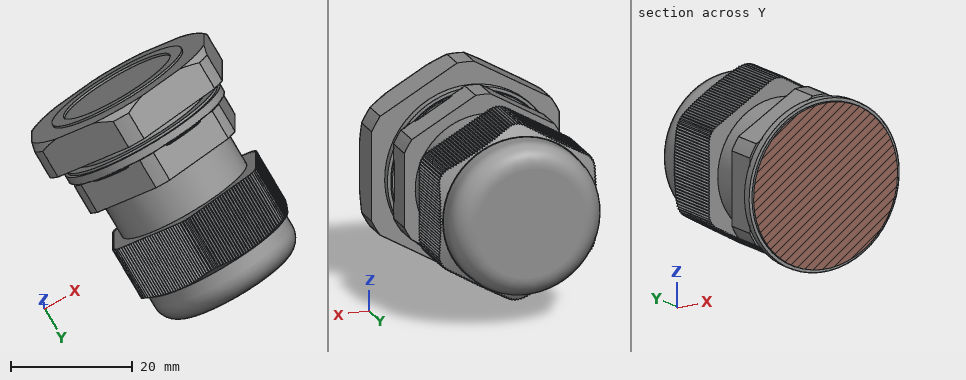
import cadquery as cq
import math

total_length = 38.7

collar_diameter = 24.7
collar_height = 0.35
recess_diameter = 20.3
recess_depth = 0.4
nut_flats = 32.7
nut_corner_diameter = 36.2
nut_face_diameter = 33.75
nut_chamfer_end = 1.4
nut_end = 6.43

neck_diameter = 24.7
seal_start = 7.97
seal_end = 10.22
seal_diameter = 28.5
seal_rim_diameter = 29.6
seal_rim_start = 8.4
seal_rim_end = 9.8
seal_edge_chamfer = 0.15

body_hex_flats = 27.5
body_hex_corner_diameter = 30.35
body_hex_end = 15.15
barrel_diameter = 23.7

cap_start = 22.22
cap_end = 32.67
cap_flats = 27.4
cap_corner_radius = 3.05
cap_bevel_start = 31.63
cap_bevel_diameter = 26.5
teeth_per_flat = 24
teeth_per_corner = 6

dome_diameter = 26.3
dome_radius = 3.65

HEX_SIDES = 6
HEX_STEP = 2 * math.pi / HEX_SIDES
HALF_STEP = HEX_STEP / 2

cap_arc_distance = (cap_flats / 2 - cap_corner_radius) / math.cos(HALF_STEP)


def disc(diameter, start, end):
    """Round disc about Y between two stations."""
    plane = cq.Workplane("ZX", origin=(0, start, 0))
    return plane.circle(diameter / 2).extrude(end - start)


def hexagon(flats, corner_diameter, start, end):
    """Hexagonal prism with corners toward +Z and -Z, turned down to a corner diameter."""
    plane = cq.Workplane("ZX", origin=(0, start, 0))
    prism = plane.polygon(HEX_SIDES, flats / math.cos(HALF_STEP)).extrude(end - start)
    return prism.intersect(disc(corner_diameter, start, end))


def turned(outline):
    """Solid of revolution about Y from (radius, station) points."""
    return cq.Workplane("XY").polyline(outline).close().revolve(360, (0, 0), (0, 1))


def lock_nut():
    nut = hexagon(nut_flats, nut_corner_diameter, collar_height, nut_end)
    corner_radius = nut_corner_diameter / 2
    envelope = turned([
        (0, collar_height),
        (nut_face_diameter / 2, collar_height),
        (corner_radius, nut_chamfer_end),
        (corner_radius, nut_end),
        (0, nut_end),
    ])
    return nut.intersect(envelope).union(disc(collar_diameter, 0, collar_height))


def sealing_ring():
    ring = disc(seal_diameter, seal_start, seal_end).edges(">Y").chamfer(seal_edge_chamfer)
    return ring.union(disc(seal_rim_diameter, seal_rim_start, seal_rim_end))


def knurl_outline():
    """Points of a round-cornered hexagon whose edge is cut into V teeth, 90 degrees on the flats."""
    flat_length = 2 * cap_arc_distance * math.sin(HALF_STEP)
    half_pitch = flat_length / teeth_per_flat / 2
    root_radius = cap_corner_radius - half_pitch
    points = []
    for side in range(HEX_SIDES):
        corner = side * HEX_STEP
        center_z = cap_arc_distance * math.cos(corner)
        center_x = cap_arc_distance * math.sin(corner)
        for i in range(2 * teeth_per_corner):
            angle = corner - HALF_STEP + HEX_STEP * i / (2 * teeth_per_corner)
            radius = cap_corner_radius if i % 2 else root_radius
            points.append((center_z + radius * math.cos(angle), center_x + radius * math.sin(angle)))
        normal = corner + HALF_STEP
        for i in range(2 * teeth_per_flat):
            along = i * half_pitch - flat_length / 2
            out = cap_flats / 2 if i % 2 else cap_flats / 2 - half_pitch
            z = out * math.cos(normal) - along * math.sin(normal)
            x = out * math.sin(normal) + along * math.cos(normal)
            points.append((z, x))
    return points


def clamping_cap():
    plane = cq.Workplane("ZX", origin=(0, cap_start, 0))
    knurled = plane.polyline(knurl_outline()).close().extrude(cap_end - cap_start)
    corner_reach = cap_arc_distance + cap_corner_radius
    envelope = turned([
        (0, cap_start),
        (corner_reach, cap_start),
        (corner_reach, cap_bevel_start),
        (cap_bevel_diameter / 2, cap_end),
        (0, cap_end),
    ])
    dome = disc(dome_diameter, cap_start, total_length).edges(">Y").fillet(dome_radius)
    return knurled.intersect(envelope).union(dome)


neck = disc(neck_diameter, collar_height, seal_end)
barrel = disc(barrel_diameter, seal_start, cap_end)
body_hex = hexagon(body_hex_flats, body_hex_corner_diameter, seal_rim_end, body_hex_end)
recess = disc(recess_diameter, 0, recess_depth)

result = (
    lock_nut()
    .union(neck)
    .union(sealing_ring())
    .union(body_hex)
    .union(barrel)
    .union(clamping_cap())
    .cut(recess)
)